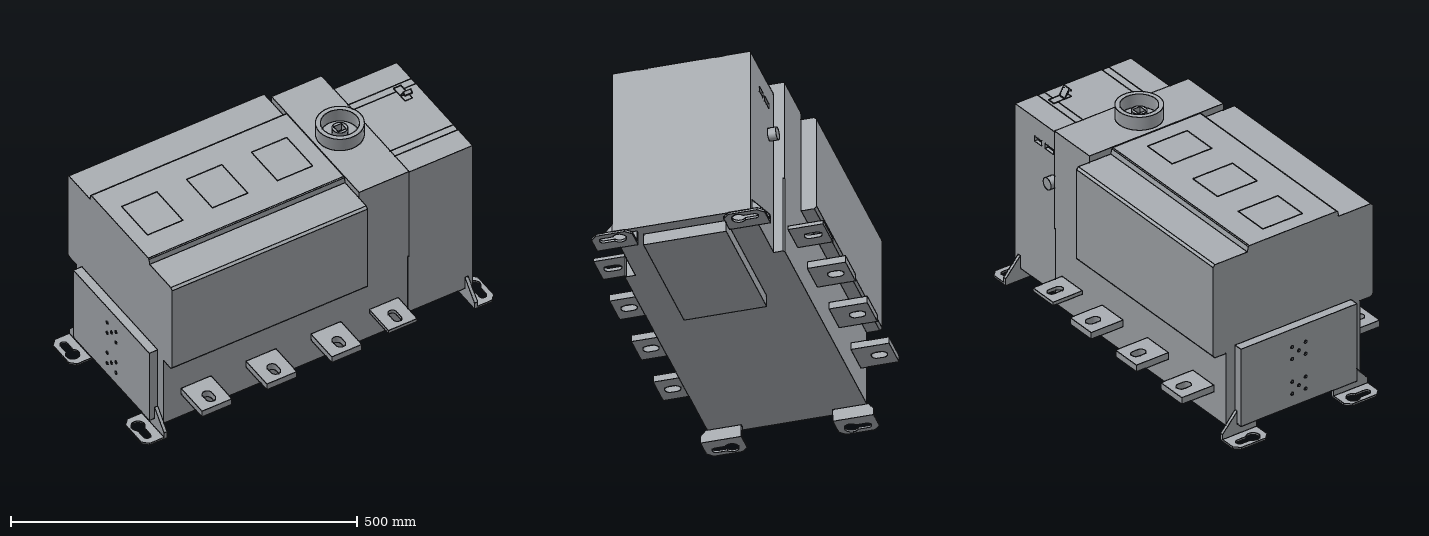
import cadquery as cq
def box_between(x_range, y_range, z_range):
    """Axis-aligned box given by its low and high coordinates."""
    (x0, x1), (y0, y1), (z0, z1) = x_range, y_range, z_range
    return cq.Workplane("XY").box(x1 - x0, y1 - y0, z1 - z0, centered=False).translate((x0, y0, z0))


def both_sides(shape):
    """The shape together with its mirror image across the YZ plane."""
    return shape.union(shape.mirror("YZ"))


overall_length = 599.0
overall_height = 335.5
housing_bottom = 20.5
housing_top = 313.0
housing_half_width = 120.5
housing_front = -260.5
housing_rear = 156.5
rear_edge_chamfer = 2.5
rear_edge_chamfer_top = 147.0

cover_half_width = 144.0
cover_rear = 71.0
cover_bottom = 144.0
cover_top = 312.0
ledge_level = 302.5
cover_chamfer = 3.5
step_foot_half_width = 82.0
step_top_half_width = 80.0
step_crest_half_width = 78.5
step_crest_drop = 1.0

window_width = 71.0
window_length = 60.0
window_depth = 0.5

pole_count = 3
pole_pitch = 110.0
first_pole_y = 15.0
pole_reach = 178.0
pole_width = 51.0
pole_bottom = 63.5
bar_top = 75.0
pole_slot_x = 156.0
pole_slot_length = 24.0
pole_slot_width = 15.0
neutral_y = 113.0
neutral_reach = 173.0
neutral_width = 49.0
neutral_bottom = 69.0
neutral_slot_x = 151.0
neutral_slot_length = 26.5
neutral_slot_width = 13.0

drive_half_width = 104.0
drive_rear = 274.5
drive_top = 295.0
groove_inner_x = 51.5
groove_outer_x = 64.0
groove_depth = 0.5
vent_front_edges = (181.0, 210.0)
vent_lengths = (21.0, 17.0)
vent_bottom = 254.5
vent_top = 263.0
vent_depth = 6.0
button_y = 179.0
button_z = 210.0
button_radius = 9.5
button_length = 12.5

latch_front = 241.0
latch_rear = 253.5
latch_left = -59.5
latch_bend = -41.5
latch_crest = -32.0
latch_tip = -27.5
latch_top = 309.5
latch_tip_level = 306.0
latch_thickness = 2.0
latch_base_rise = 0.5

knob_y = 113.0
knob_radius = 35.5
knob_bore_radius = 28.0
hub_radius = 11.5
hub_top = 326.0
hub_square = 13.0

plate_front = -275.0
plate_top = 152.0
hole_group_levels = (52.0, 111.5)
hole_offset_x = 12.0
hole_offset_z = 10.0
hole_diameter = 5.0
hole_depth = 3.0

foot_inner_x = 69.0
foot_outer_x = 130.5
foot_thickness = 3.5
leg_thickness = 5.5
leg_top = 42.0
leg_shoulder = 12.0
front_leg_y = housing_front
rear_leg_y = 261.0
foot_chamfer = 9.0
keyhole_x = 90.0
keyhole_inset = 14.5
keyhole_radius = 10.0
keyhole_slot_end = 120.0
keyhole_slot_width = 11.5
pad_half_width = 62.0
pad_front = 51.0
pad_rear = 256.0
pad_bottom = 2.0


def make_housing():
    lower = box_between(
        (-housing_half_width, housing_half_width),
        (housing_front, housing_rear),
        (housing_bottom, rear_edge_chamfer_top),
    )
    lower = lower.edges("|Z and >Y").chamfer(rear_edge_chamfer)
    upper = box_between(
        (-housing_half_width, housing_half_width),
        (cover_rear, housing_rear),
        (rear_edge_chamfer_top, housing_top),
    )
    return lower.union(upper)


def make_cover():
    half_outline = [
        (0, cover_bottom),
        (cover_half_width - cover_chamfer, cover_bottom),
        (cover_half_width, cover_bottom + cover_chamfer),
        (cover_half_width, ledge_level - cover_chamfer),
        (cover_half_width - cover_chamfer, ledge_level),
        (step_foot_half_width, ledge_level),
        (step_top_half_width, cover_top - step_crest_drop),
        (step_crest_half_width, cover_top),
        (0, cover_top),
    ]
    half = cq.Workplane("XZ", origin=(0, cover_rear, 0)).polyline(half_outline).close()
    cover = both_sides(half.extrude(cover_rear - housing_front))
    window_centres = [(0, first_pole_y - i * pole_pitch) for i in range(pole_count)]
    windows = (
        cq.Workplane("XY", origin=(0, 0, cover_top - window_depth))
        .pushPoints(window_centres)
        .rect(window_width, window_length)
        .extrude(window_depth)
    )
    return cover.cut(windows)


def make_terminal(y, reach, width, bottom, slot_x, slot_length, slot_width):
    """Pair of slotted bars reaching out of both sides of the housing."""
    bar = box_between((housing_half_width, reach), (y - width / 2, y + width / 2), (bottom, bar_top))
    slot = (
        cq.Workplane("XY", origin=(slot_x, y, bottom))
        .slot2D(slot_length, slot_width)
        .extrude(bar_top - bottom)
    )
    return both_sides(bar.cut(slot))


def make_drive_box():
    drive = box_between(
        (-drive_half_width, drive_half_width),
        (housing_rear, drive_rear),
        (housing_bottom, drive_top),
    )
    groove = box_between(
        (groove_inner_x, groove_outer_x),
        (housing_rear, drive_rear),
        (drive_top - groove_depth, drive_top),
    )
    drive = drive.cut(both_sides(groove))
    for front_edge, length in zip(vent_front_edges, vent_lengths):
        vent = box_between(
            (-drive_half_width, -drive_half_width + vent_depth),
            (front_edge, front_edge + length),
            (vent_bottom, vent_top),
        )
        drive = drive.cut(vent)
    button = (
        cq.Workplane("YZ", origin=(-drive_half_width, button_y, button_z))
        .circle(button_radius)
        .extrude(-button_length)
    )
    return drive.union(button)


def make_latch():
    foot_level = drive_top - groove_depth
    profile = [
        (latch_bend, foot_level),
        (latch_crest, latch_top),
        (latch_tip, latch_tip_level),
        (latch_tip, latch_tip_level - latch_thickness),
        (latch_crest, latch_top - 2 * latch_thickness),
        (latch_bend + latch_thickness, foot_level),
    ]
    strip = cq.Workplane("XZ", origin=(0, latch_rear, 0)).polyline(profile).close()
    strip = strip.extrude(latch_rear - latch_front)
    base = box_between(
        (latch_left, latch_tip),
        (latch_front, latch_rear),
        (foot_level, drive_top + latch_base_rise),
    )
    return base.union(strip)


def make_knob():
    base = cq.Workplane("XY", origin=(0, knob_y, housing_top))
    rim = base.circle(knob_radius).circle(knob_bore_radius).extrude(overall_height - housing_top)
    hub = base.circle(hub_radius).rect(hub_square, hub_square).extrude(hub_top - housing_top)
    return rim.union(hub)


def make_front_plate():
    plate = box_between(
        (-drive_half_width, drive_half_width),
        (plate_front, housing_front),
        (housing_bottom, plate_top),
    )
    corners = [(sx * hole_offset_x, sz * hole_offset_z) for sx in (-1, 1) for sz in (-1, 1)]
    for level in hole_group_levels:
        holes = (
            cq.Workplane("XZ", origin=(0, plate_front, level))
            .pushPoints(corners + [(0, 0)])
            .circle(hole_diameter / 2)
            .extrude(-hole_depth)
        )
        plate = plate.cut(holes)
    return plate


def make_feet(leg_y, outward):
    """Pair of angle brackets; outward is +1 at the rear end and -1 at the front end."""
    end_y = outward * overall_length / 2
    sole = box_between(
        (foot_inner_x, foot_outer_x),
        (min(leg_y, end_y), max(leg_y, end_y)),
        (0, foot_thickness),
    )
    sole = sole.edges("|Z").edges(">Y" if outward > 0 else "<Y").chamfer(foot_chamfer)
    keyhole_y = end_y - outward * keyhole_inset
    keyhole = cq.Workplane("XY", origin=(keyhole_x, keyhole_y, 0)).circle(keyhole_radius)
    keyhole = keyhole.extrude(foot_thickness)
    slot_length = keyhole_slot_end - keyhole_x + keyhole_slot_width / 2
    slot = (
        cq.Workplane("XY", origin=(keyhole_slot_end - slot_length / 2, keyhole_y, 0))
        .slot2D(slot_length, keyhole_slot_width)
        .extrude(foot_thickness)
    )
    leg_outline = [
        (foot_inner_x, 0),
        (foot_outer_x, 0),
        (foot_outer_x, leg_shoulder),
        (drive_half_width, leg_top),
        (foot_inner_x, leg_top),
    ]
    leg = (
        cq.Workplane("XZ", origin=(0, leg_y, 0))
        .polyline(leg_outline)
        .close()
        .extrude(-outward * leg_thickness)
    )
    return both_sides(sole.cut(keyhole).cut(slot).union(leg))


def make_floor_pad():
    return box_between(
        (-pad_half_width, pad_half_width),
        (pad_front, pad_rear),
        (pad_bottom, housing_bottom),
    )


result = make_housing().union(make_cover()).union(make_drive_box())
result = result.union(make_latch()).union(make_knob())
result = result.union(make_front_plate()).union(make_floor_pad())
for pole in range(pole_count):
    result = result.union(
        make_terminal(
            first_pole_y - pole * pole_pitch,
            pole_reach,
            pole_width,
            pole_bottom,
            pole_slot_x,
            pole_slot_length,
            pole_slot_width,
        )
    )
result = result.union(
    make_terminal(
        neutral_y,
        neutral_reach,
        neutral_width,
        neutral_bottom,
        neutral_slot_x,
        neutral_slot_length,
        neutral_slot_width,
    )
)
result = result.union(make_feet(front_leg_y, -1)).union(make_feet(rear_leg_y, 1))